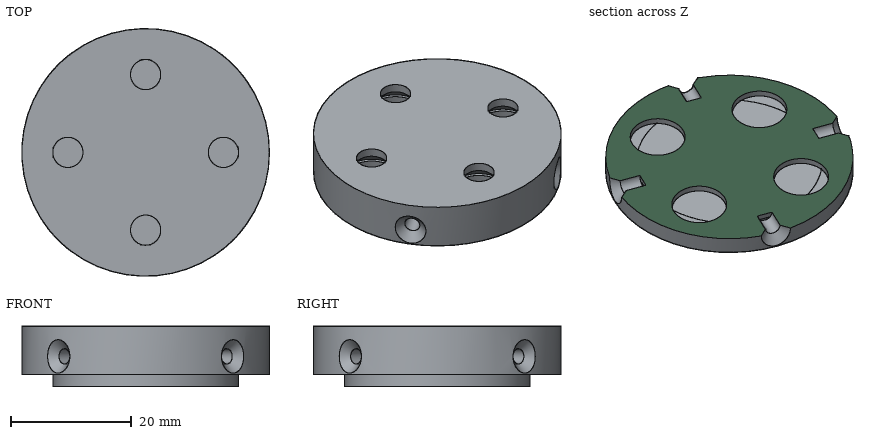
import cadquery as cq
import math

housing_diameter = 41.0
housing_height = 8.0

insert_diameter = 30.74
insert_exposed_height = 2.0
insert_seated_height = 2.0
insert_height = insert_exposed_height + insert_seated_height

housing_bottom_z = insert_exposed_height
housing_top_z = housing_bottom_z + housing_height
recess_top_z = insert_height

well_count = 4
mouth_diameter = 5.0
mouth_depth = 1.5
flare_diameter = 10.0
flare_depth = (flare_diameter - mouth_diameter) / 2
chamber_diameter = 9.0
chamber_top_z = housing_top_z - mouth_depth - flare_depth
well_circle_radius = (insert_diameter - mouth_diameter) / 2

port_count = 4
port_first_angle = 45.0
port_diameter = 2.53
countersink_depth = 1.5
port_depth = 5.0
port_z = housing_bottom_z + 3.0
countersink_overrun = 0.5


def make_well():
    """Revolved cutter for one well, standing on the Z axis."""
    mouth_radius = mouth_diameter / 2
    chamber_radius = chamber_diameter / 2
    profile = (
        cq.Workplane("XZ")
        .moveTo(0, recess_top_z)
        .lineTo(chamber_radius, recess_top_z)
        .lineTo(chamber_radius, chamber_top_z)
        .lineTo(flare_diameter / 2, chamber_top_z)
        .lineTo(mouth_radius, housing_top_z - mouth_depth)
        .lineTo(mouth_radius, housing_top_z)
        .lineTo(0, housing_top_z)
        .close()
    )
    return profile.revolve(360, (0, 0), (0, 1))


def make_port():
    """Revolved cutter for one countersunk hole, lying along +X at the port height."""
    rim_radius = housing_diameter / 2
    port_radius = port_diameter / 2
    outer_x = rim_radius + countersink_overrun
    inner_x = rim_radius - port_depth
    cone_radius = port_radius + countersink_depth + countersink_overrun
    profile = (
        cq.Workplane("XY")
        .moveTo(inner_x, 0)
        .lineTo(inner_x, port_radius)
        .lineTo(rim_radius - countersink_depth, port_radius)
        .lineTo(outer_x, cone_radius)
        .lineTo(outer_x, 0)
        .close()
    )
    return profile.revolve(360, (0, 0), (1, 0)).translate((0, 0, port_z))


def make_insert():
    """Plain round insert; its envelope also shapes the recess in the housing."""
    return cq.Workplane("XY").circle(insert_diameter / 2).extrude(insert_height)


def make_housing():
    """Disc with the insert recess, the wells and the radial ports cut out."""
    body = (
        cq.Workplane("XY")
        .workplane(offset=housing_bottom_z)
        .circle(housing_diameter / 2)
        .extrude(housing_height)
        .cut(make_insert())
    )
    for index in range(well_count):
        angle = 2 * math.pi * index / well_count
        well_x = well_circle_radius * math.cos(angle)
        well_y = well_circle_radius * math.sin(angle)
        body = body.cut(make_well().translate((well_x, well_y, 0)))
    for index in range(port_count):
        angle = port_first_angle + 360.0 * index / port_count
        body = body.cut(make_port().rotate((0, 0, 0), (0, 0, 1), angle))
    return body


housing = make_housing()
insert = make_insert()

result = cq.Compound.makeCompound([housing.solids().val(), insert.solids().val()])